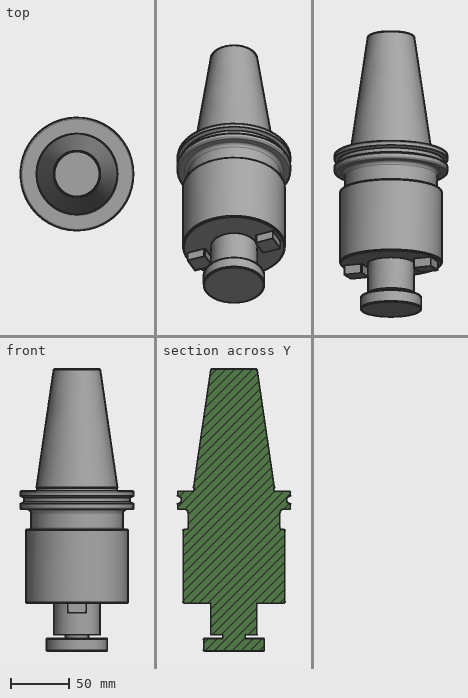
import cadquery as cq
import math


gauge_diameter = 69.85
taper_length = 101.75
taper_ratio = 7 / 24
taper_tip_chamfer = 0.8
neck_depth = 0.3
neck_entry_height = 0.7
neck_fillet = 0.8

flange_diameter = 97.5
flange_top_z = -3.2
flange_bottom_z = -19.1
flange_edge_radius = 1.3
groove_floor_diameter = 91.4
groove_floor_width = 3.5
groove_mouth_width = 6.9
groove_center_z = -10.9

collar_diameter = 79.6
collar_top_fillet = 3.0
collar_bottom_fillet = 1.0
body_diameter = 88.0
body_top_z = -36.0
body_bottom_z = -100.0
body_chamfer = 1.0

spigot_diameter = 40.0
spigot_length = 27.0
shank_diameter = 20.0
head_diameter = 52.5
head_top_z = -130.0
head_bottom_z = -141.0
head_chamfer = 0.8

key_width = 16.0
key_height = 8.0
key_outer_y = 40.0
key_inner_y = 23.7
key_corner_chamfer = 1.0


def cylinder(diameter, bottom_z, top_z):
    """Upright cylinder on the Z axis."""
    return cq.Workplane("XY", origin=(0, 0, bottom_z)).circle(diameter / 2).extrude(top_z - bottom_z)


def revolved(outline):
    """Solid of revolution about Z from (radius, z) points."""
    return cq.Workplane("XZ").polyline(outline).close().revolve(360, (0, 0, 0), (0, 1, 0))


def root_fillet(radius, face_z, fillet_radius):
    """Concave ring between a cylinder and a flat face; a negative fillet radius hangs below the face."""
    outer_radius = radius + abs(fillet_radius)
    end_z = face_z + fillet_radius
    bulge = abs(fillet_radius) * (1 - math.sqrt(0.5))
    arc_middle = (radius + bulge, face_z + math.copysign(bulge, fillet_radius))
    return (
        cq.Workplane("XZ")
        .moveTo(0, face_z)
        .lineTo(outer_radius, face_z)
        .threePointArc(arc_middle, (radius, end_z))
        .lineTo(0, end_z)
        .close()
        .revolve(360, (0, 0, 0), (0, 1, 0))
    )


def make_taper():
    """Taper standing on a slightly reduced neck that flows into the flange face."""
    base_radius = gauge_diameter / 2
    tip_radius = base_radius - taper_length * taper_ratio / 2
    neck_radius = base_radius - neck_depth
    cone = revolved([
        (0, 0),
        (base_radius, 0),
        (tip_radius, taper_length),
        (0, taper_length),
    ]).faces(">Z").chamfer(taper_tip_chamfer)
    neck = revolved([
        (0, flange_top_z),
        (neck_radius, flange_top_z),
        (neck_radius, -neck_entry_height),
        (base_radius, 0),
        (0, 0),
    ])
    return cone.union(neck).union(root_fillet(neck_radius, flange_top_z, neck_fillet))


def make_flange():
    rim_radius = flange_diameter / 2
    floor_radius = groove_floor_diameter / 2
    half_floor = groove_floor_width / 2
    half_mouth = groove_mouth_width / 2
    disc = cylinder(flange_diameter, flange_bottom_z, flange_top_z)
    disc = disc.faces("<Z or >Z").edges().fillet(flange_edge_radius)
    groove = revolved([
        (floor_radius, groove_center_z - half_floor),
        (rim_radius, groove_center_z - half_mouth),
        (rim_radius, groove_center_z + half_mouth),
        (floor_radius, groove_center_z + half_floor),
    ])
    return disc.cut(groove)


def make_collar():
    """Collar with fillets into the flange above it and the body below it."""
    radius = collar_diameter / 2
    collar = cylinder(collar_diameter, body_top_z, flange_bottom_z)
    collar = collar.union(root_fillet(radius, flange_bottom_z, -collar_top_fillet))
    return collar.union(root_fillet(radius, body_top_z, collar_bottom_fillet))


def make_body():
    body = cylinder(body_diameter, body_bottom_z, body_top_z)
    return body.faces("<Z or >Z").chamfer(body_chamfer)


def make_spigot_and_screw():
    spigot_bottom_z = body_bottom_z - spigot_length
    spigot = cylinder(spigot_diameter, spigot_bottom_z, body_bottom_z)
    shank = cylinder(shank_diameter, head_top_z, spigot_bottom_z)
    head = cylinder(head_diameter, head_bottom_z, head_top_z)
    head = head.faces("<Z or >Z").chamfer(head_chamfer)
    return spigot.union(shank).union(head)


def make_key(side):
    """Driving key on the +Y (side = 1) or -Y (side = -1) half."""
    key_length = key_outer_y - key_inner_y
    center_y = side * (key_outer_y + key_inner_y) / 2
    key = (
        cq.Workplane("XY", origin=(0, center_y, body_bottom_z))
        .rect(key_width, key_length)
        .extrude(-key_height)
    )
    inner_face = "<Y" if side > 0 else ">Y"
    return key.faces(inner_face).edges("|Z").chamfer(key_corner_chamfer)


result = make_taper().union(make_flange()).union(make_collar()).union(make_body())
result = result.union(make_spigot_and_screw())
for key_side in (1, -1):
    result = result.union(make_key(key_side))